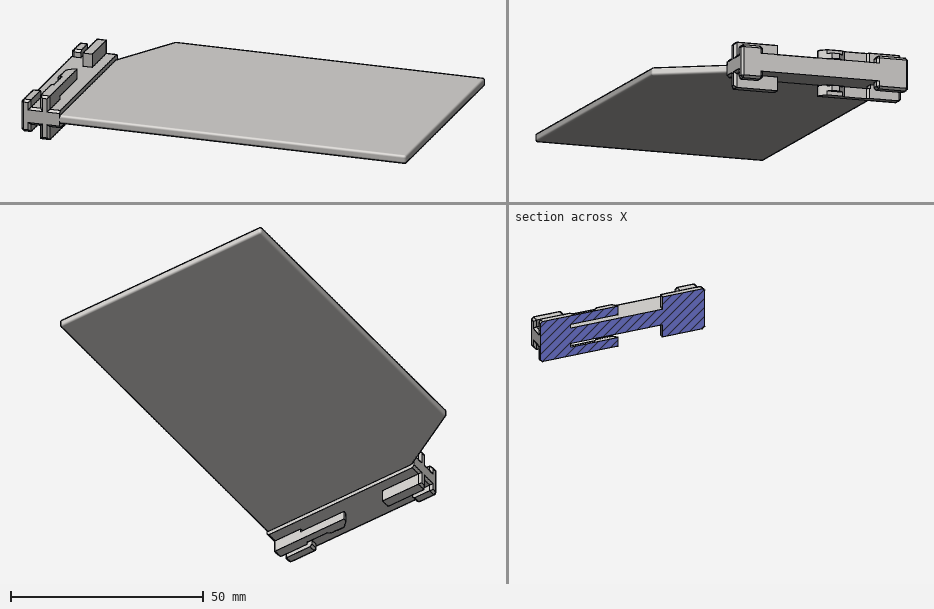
import cadquery as cq
import math

LENGTH = 105.5
WIDTH = 63.3
HEIGHT = 12.0
EDGE_CHAMFER = 0.6
TOLERANCE = 1.06e-06

PLATE_THICKNESS = 2.2
PLATE_FILLET = 0.6
CORNER_CUT_X = 10.0
CORNER_CUT_ANGLE = math.radians(60)

HEAD_LENGTH = 10.5
HEAD_WIDTH = 46.3
CORE_THICKNESS = 4.7

FLANGE_THICKNESS = 2.5
FLANGE_HEIGHT = 8.8
FRONT_FLANGE_WIDTH = 8.7
BACK_FLANGE_WIDTH = 6.0

RIB_LEFT = 5.2
RIB_RIGHT = 7.7
BACK_RIB_WIDTH = 11.9
ARM_TIP_Y = 22.3
ARM_TIP_THICKNESS = 1.0
ARM_TIP_FILLET = 1.1
ARM_GAP = 1.0

RELIEF_DEPTH = 0.6
RELIEF_START_Y = 8.9
RELIEF_FLAT_END_Y = 15.6

CATCH_REACH = 1.1
CATCH_CREST_Y = 17.6
CATCH_BOTTOM = 3.6
CATCH_TOP = 5.0

core_top = CORE_THICKNESS / 2
rib_top = HEIGHT / 2
arm_bottom = core_top + ARM_GAP
back_flange_y = HEAD_WIDTH - BACK_FLANGE_WIDTH
back_rib_y = HEAD_WIDTH - BACK_RIB_WIDTH
arm_root_y = FRONT_FLANGE_WIDTH
catch_left = RIB_LEFT - CATCH_REACH
arm_tip_left = RIB_RIGHT - ARM_TIP_THICKNESS
ramp_share = RELIEF_DEPTH / (RELIEF_DEPTH + CATCH_REACH)
ramp_crossing_y = RELIEF_FLAT_END_Y + ramp_share * (CATCH_CREST_Y - RELIEF_FLAT_END_Y)
tip_slope_y = ARM_TIP_Y - (arm_tip_left - RIB_LEFT)


def block(x_range, y_range, z_range):
    """Box given by its start and end along each axis."""
    (x0, x1), (y0, y1), (z0, z1) = x_range, y_range, z_range
    return cq.Workplane("XY").box(x1 - x0, y1 - y0, z1 - z0, centered=False).translate((x0, y0, z0))


def prism(points, bottom, top):
    """Upright prism over an XY outline."""
    return cq.Workplane("XY").workplane(offset=bottom).polyline(points).close().extrude(top - bottom)


def both_sides(solid):
    """The solid together with its mirror image below the mid-plane."""
    return solid.union(solid.mirror("XY"))


def make_plate():
    cut_y = CORNER_CUT_X * math.tan(CORNER_CUT_ANGLE)
    outline = [
        (HEAD_LENGTH, 0),
        (LENGTH, 0),
        (LENGTH, WIDTH),
        (HEAD_LENGTH + CORNER_CUT_X, WIDTH),
        (HEAD_LENGTH, WIDTH - cut_y),
    ]
    plate = prism(outline, -PLATE_THICKNESS / 2, PLATE_THICKNESS / 2)
    return plate.edges("not(<X)").fillet(PLATE_FILLET)


def same(first, second):
    return abs(first - second) < TOLERANCE


def is_chamfered(edge):
    """True for the edges of the two ends, the outer face of the flanges and their inner end tops."""
    center = edge.Center()
    if same(center.y, 0) or same(center.y, HEAD_WIDTH):
        return not same(center.x, HEAD_LENGTH)
    on_flange_outer_face = same(center.x, 0) and abs(center.z) > core_top + TOLERANCE
    on_flange_inner_end = same(center.y, FRONT_FLANGE_WIDTH) or same(center.y, back_flange_y)
    on_flange_top = same(abs(center.z), FLANGE_HEIGHT / 2)
    return on_flange_outer_face or (on_flange_inner_end and on_flange_top)


def make_head():
    full_width = (0, HEAD_WIDTH)
    head = block((0, HEAD_LENGTH), full_width, (-core_top, core_top))
    head = head.union(block((RIB_LEFT, RIB_RIGHT), full_width, (-rib_top, rib_top)))
    flange_z = (-FLANGE_HEIGHT / 2, FLANGE_HEIGHT / 2)
    for y_range in ((0, FRONT_FLANGE_WIDTH), (back_flange_y, HEAD_WIDTH)):
        head = head.union(block((0, FLANGE_THICKNESS), y_range, flange_z))
    edges = [edge for edge in head.edges().vals() if is_chamfered(edge)]
    head = head.newObject(edges).chamfer(EDGE_CHAMFER)
    opening = block((RIB_LEFT, RIB_RIGHT), (arm_root_y, back_rib_y), (core_top, rib_top))
    return head.cut(both_sides(opening))


def make_arm():
    arm = prism(
        [
            (RIB_LEFT, arm_root_y),
            (RIB_LEFT, RELIEF_START_Y),
            (RIB_LEFT + RELIEF_DEPTH, RELIEF_START_Y + RELIEF_DEPTH),
            (RIB_LEFT + RELIEF_DEPTH, RELIEF_FLAT_END_Y),
            (RIB_LEFT, ramp_crossing_y),
            (RIB_LEFT, tip_slope_y),
            (arm_tip_left, ARM_TIP_Y),
            (RIB_RIGHT, ARM_TIP_Y),
            (RIB_RIGHT, arm_root_y),
        ],
        arm_bottom,
        rib_top,
    )
    arm_middle_z = (arm_bottom + rib_top) / 2
    tip_corner = cq.selectors.NearestToPointSelector((arm_tip_left, ARM_TIP_Y, arm_middle_z))
    arm = arm.edges(tip_corner).fillet(ARM_TIP_FILLET)
    catch = prism(
        [
            (RIB_LEFT, ramp_crossing_y),
            (catch_left, CATCH_CREST_Y),
            (catch_left, tip_slope_y - CATCH_REACH),
            (RIB_LEFT, tip_slope_y),
        ],
        CATCH_BOTTOM,
        CATCH_TOP,
    )
    return both_sides(arm.union(catch))


result = make_head().union(make_arm()).union(make_plate())